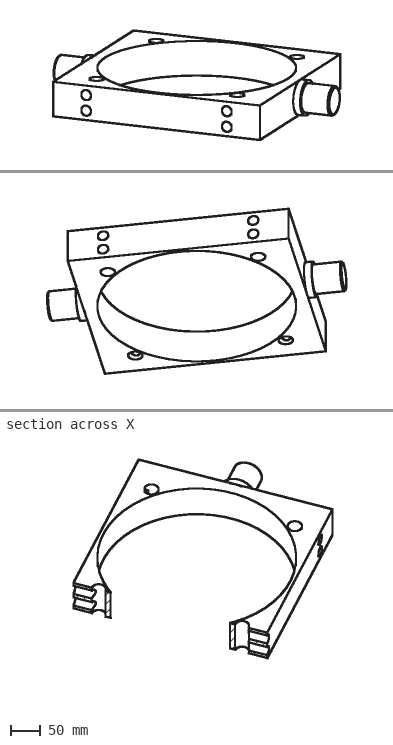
import cadquery as cq

plate_length = 375.0
plate_width = 345.0
thickness = 60.0
bore_diameter = 332.0

hole_offset = 127.5
bolt_hole_diameter = 24.0

side_hole_diameter = 17.5
side_hole_offset_z = 13.5
side_hole_depth = plate_width / 2 - hole_offset

overall_length = 500.0
collar_diameter = thickness
collar_length = 12.5
pin_diameter = 50.0
pin_chamfer = 2.5


def make_plate():
    return cq.Workplane("XY").box(plate_length, plate_width, thickness)


def make_trunnion():
    """Collar and chamfered pin pointing along +X from the plate end."""
    pin_length = (overall_length - plate_length) / 2 - collar_length
    collar = (
        cq.Workplane("YZ", origin=(plate_length / 2, 0, 0))
        .circle(collar_diameter / 2)
        .extrude(collar_length)
    )
    pin = (
        cq.Workplane("YZ", origin=(plate_length / 2 + collar_length, 0, 0))
        .circle(pin_diameter / 2)
        .extrude(pin_length)
        .faces(">X")
        .chamfer(pin_chamfer)
    )
    return collar.union(pin)


def make_bolt_holes():
    return (
        cq.Workplane("XY")
        .rect(2 * hole_offset, 2 * hole_offset, forConstruction=True)
        .vertices()
        .circle(bolt_hole_diameter / 2)
        .extrude(thickness / 2, both=True)
    )


def make_side_holes():
    """Holes running inward from the -Y face to the axes of the vertical holes."""
    return (
        cq.Workplane("XZ", origin=(0, -plate_width / 2, 0))
        .rect(2 * hole_offset, 2 * side_hole_offset_z, forConstruction=True)
        .vertices()
        .circle(side_hole_diameter / 2)
        .extrude(-side_hole_depth)
    )


bore = cq.Workplane("XY").circle(bore_diameter / 2).extrude(thickness / 2, both=True)
trunnion = make_trunnion()
side_holes = make_side_holes()

result = (
    make_plate()
    .union(trunnion)
    .union(trunnion.mirror("YZ"))
    .cut(bore)
    .cut(make_bolt_holes())
    .cut(side_holes)
    .cut(side_holes.mirror("XZ"))
)